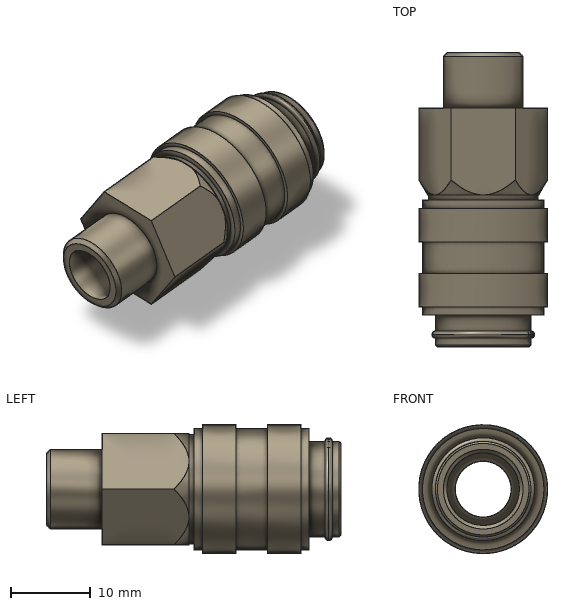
import cadquery as cq
import math


total_length = 37.0
nose_length = 4.0
collar_width = 1.05
ring_width = 4.2
sleeve_end = 18.45
neck_length = 0.65
hex_length = 10.9

nose_diameter = 12.0
collar_diameter = 15.25
ring_diameter = 16.2
neck_diameter = 13.8
tail_diameter = 10.0

bead_station = 1.55
bead_radius = 0.45
bead_diameter = 12.9

hex_across_flats = 14.0
hex_cone_angle = 30.0

socket_diameter = 9.1
socket_depth = sleeve_end
through_diameter = 7.0

nose_chamfer = 0.25
mouth_chamfer = 0.45
tail_chamfer = 0.5

front_ring_start = nose_length + collar_width
rear_ring_start = sleeve_end - collar_width - ring_width
hex_start = sleeve_end + neck_length
tail_start = hex_start + hex_length
tail_length = total_length - tail_start
hex_across_corners = hex_across_flats / math.cos(math.radians(30))


def plane_at(station):
    """Plane across the axis whose normal points to the rear (+Y)."""
    return cq.Workplane("XZ", origin=(0, station - total_length / 2, 0)).transformed(rotate=(180, 0, 0))


def cylinder(diameter, station, length):
    return plane_at(station).circle(diameter / 2).extrude(length)


def make_nose():
    """Front spigot with its rounded retaining bead."""
    spigot = cylinder(nose_diameter, 0, front_ring_start).faces("<Y").chamfer(nose_chamfer)
    bead_center_radius = bead_diameter / 2 - bead_radius
    bead = cq.Workplane(
        cq.Solid.makeTorus(
            bead_center_radius,
            bead_radius,
            cq.Vector(0, bead_station - total_length / 2, 0),
            cq.Vector(0, 1, 0),
        )
    )
    return spigot.union(bead)


def make_sleeve():
    """Sliding sleeve with two raised grip rings."""
    sleeve = cylinder(collar_diameter, nose_length, sleeve_end - nose_length)
    for ring_start in (front_ring_start, rear_ring_start):
        sleeve = sleeve.union(cylinder(ring_diameter, ring_start, ring_width))
    return sleeve


def make_hex():
    """Hexagon with corners along X, its front corners trimmed by a cone."""
    prism = plane_at(hex_start).polygon(6, hex_across_corners).extrude(hex_length)
    front_radius = hex_across_flats / 2
    rear_radius = front_radius + hex_length * math.tan(math.radians(hex_cone_angle))
    cone = cq.Workplane(
        cq.Solid.makeCone(
            front_radius,
            rear_radius,
            hex_length,
            cq.Vector(0, hex_start - total_length / 2, 0),
            cq.Vector(0, 1, 0),
        )
    )
    return prism.intersect(cone)


def make_tail():
    """Plain cylindrical rear end with a chamfered edge."""
    return cylinder(tail_diameter, tail_start, tail_length).faces(">Y").chamfer(tail_chamfer)


def make_bore():
    """Through hole, wider front socket and the bevel at the socket mouth."""
    through_hole = cylinder(through_diameter, 0, total_length)
    socket = cylinder(socket_diameter, 0, socket_depth)
    mouth_radius = socket_diameter / 2 + mouth_chamfer
    mouth = cq.Workplane(
        cq.Solid.makeCone(
            mouth_radius,
            socket_diameter / 2,
            mouth_chamfer,
            cq.Vector(0, -total_length / 2, 0),
            cq.Vector(0, 1, 0),
        )
    )
    return through_hole.union(socket).union(mouth)


neck = cylinder(neck_diameter, sleeve_end, neck_length)
body = make_nose().union(make_sleeve()).union(neck).union(make_hex()).union(make_tail())
result = body.cut(make_bore())